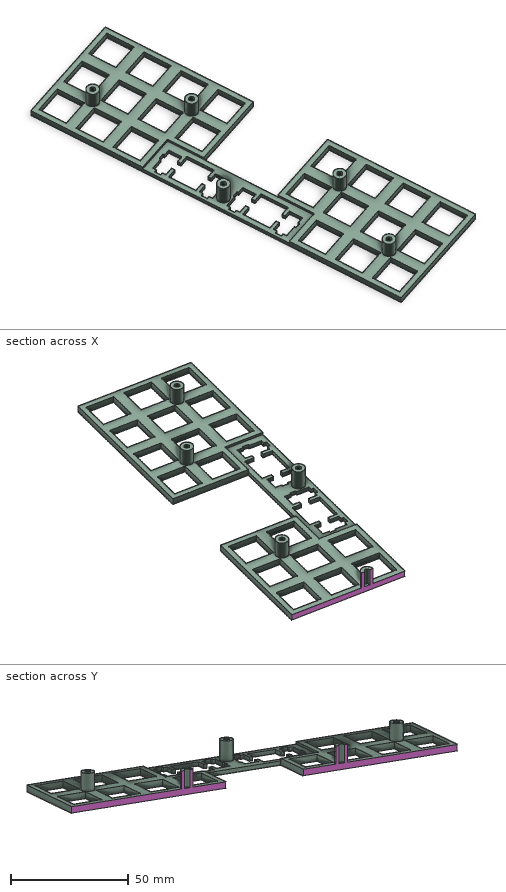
import cadquery as cq

pitch = 19.0
rows = 3
wing_columns = 4
switch_size = 14.0
length = 10 * pitch
depth = rows * pitch
front_y = -depth / 2
front_row_y = front_y + pitch / 2

wing_thickness = 3.0
strip_thickness = 2.0
total_height = 11.0

strip_length = 75.5

wide_key_x = pitch
stab_offset = 12.0
stab_width = 6.7
stab_back = 5.5
stab_front = -6.7
foot_width = 3.0
foot_front = -8.0
wire_half_height = 2.3
ear_depth = 0.8
ear_front = -0.5

standoff_diameter = 6.0
bore_diameter = 2.5
wing_standoffs = [(2 * pitch, pitch / 2), (4 * pitch, -pitch / 2)]
centre_standoff_inset = 5.7


def block(x_min, x_max, y_min, y_max, height):
    """Box between the given limits, standing on z = 0."""
    corner = cq.Workplane("XY", origin=(x_min, y_min, 0))
    return corner.box(x_max - x_min, y_max - y_min, height, centered=False)


def switch_cutout(x, y):
    """Square through-cut for one key switch."""
    half = switch_size / 2
    return block(x - half, x + half, y - half, y + half, wing_thickness)


def wing(side):
    """Key field on one side (-1 left, 1 right), without the corner used by the strip."""
    inner_x = length / 2 - wing_columns * pitch
    x_min, x_max = sorted((side * inner_x, side * length / 2))
    body = block(x_min, x_max, front_y, -front_y, wing_thickness)
    body = body.cut(block(-strip_length / 2, strip_length / 2, front_y, front_y + pitch, wing_thickness))
    for column in range(wing_columns):
        for row in range(rows):
            in_strip = column == 0 and row == 0
            if not in_strip:
                x = side * (inner_x + (column + 0.5) * pitch)
                body = body.cut(switch_cutout(x, front_row_y + row * pitch))
    return body


def wide_key_cutout(x):
    """Switch opening with a stabilizer slot on each side, joined by a wire channel."""
    cutout = switch_cutout(x, front_row_y)
    half_slot = stab_width / 2
    half_foot = foot_width / 2
    ear_x = stab_offset + half_slot + ear_depth
    parts = [
        block(-stab_offset, stab_offset, -wire_half_height, wire_half_height, wing_thickness),
        block(-ear_x, ear_x, ear_front, wire_half_height, wing_thickness),
    ]
    for slot_x in (-stab_offset, stab_offset):
        parts.append(block(slot_x - half_slot, slot_x + half_slot, stab_front, stab_back, wing_thickness))
        parts.append(block(slot_x - half_foot, slot_x + half_foot, foot_front, stab_front, wing_thickness))
    for part in parts:
        cutout = cutout.union(part.translate((x, front_row_y, 0)))
    return cutout


def centre_strip():
    """Thin strip that joins the wings and carries two double-width keys."""
    body = block(-strip_length / 2, strip_length / 2, front_y, front_y + pitch, strip_thickness)
    for x in (-wide_key_x, wide_key_x):
        body = body.cut(wide_key_cutout(x))
    return body


def standoff(x, y, base_z):
    """Round post from the plate surface to the full height, bored down to that surface."""
    base = cq.Workplane("XY", origin=(x, y, base_z))
    ring = base.circle(standoff_diameter / 2).circle(bore_diameter / 2)
    return ring.extrude(total_height - base_z)


result = wing(-1).union(wing(1)).union(centre_strip())
for standoff_x, standoff_y in wing_standoffs:
    for side in (-1, 1):
        result = result.union(standoff(side * standoff_x, standoff_y, wing_thickness))
result = result.union(standoff(0, front_y + centre_standoff_inset, strip_thickness))